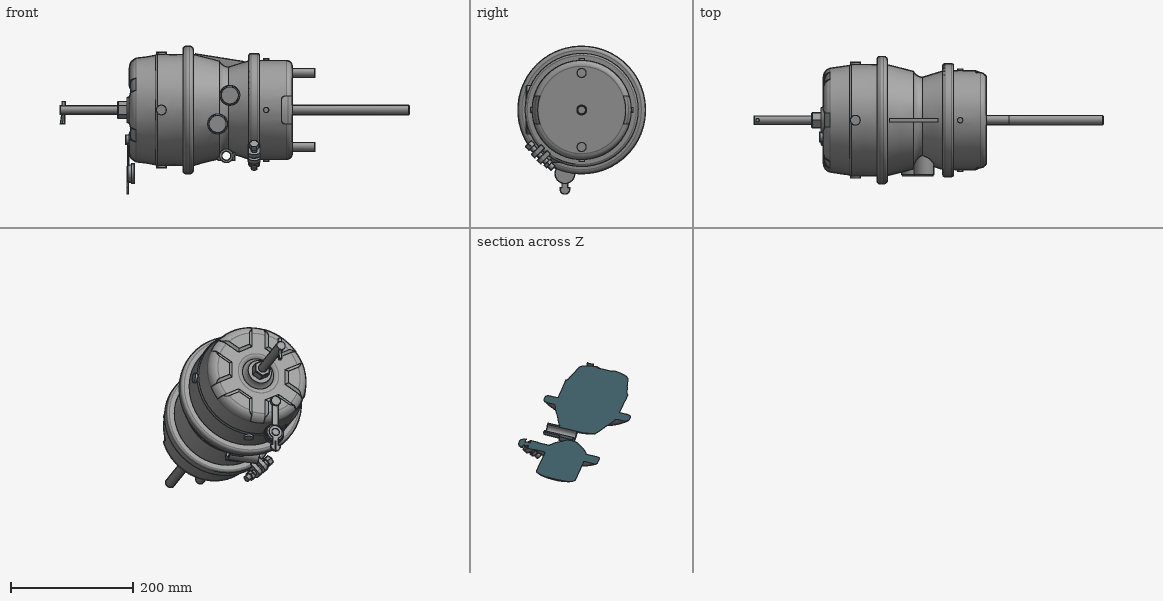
import cadquery as cq
import math

TOTAL_LENGTH = 571.5

REAR_FACE_X = 113.0
DOME_FLAT_RADIUS = 69.5
DOME_ROUNDING_MIDPOINT = (116.5, 80.0)
DOME_END_X = 124.5
DOME_END_RADIUS = 85.0
CONE_END_X = 156.0
CONE_END_RADIUS = 89.5
STEP_END_X = 159.5
CHAMBER_RADIUS = 91.5

JOINT_START_X = 201.0
JOINT_END_X = 218.0
JOINT_RADIUS = 104.5
JOINT_REAR_ROUNDING = 5.0
JOINT_FRONT_ROUNDING = 7.0

BODY_START_RADIUS = 91.0
SHOULDER_X = 260.5
SHOULDER_RADIUS = 80.0
WAIST_X = 275.5
WAIST_RADIUS = 70.0
FLARE_END_RADIUS = 80.5

BAND_START_X = 308.5
BAND_END_X = 326.0
BAND_RADIUS = 92.5
BAND_ROUNDING = 3.5
SERVICE_RADIUS = 81.0
FRONT_FACE_X = 380.0
FRONT_ROUNDING = 9.5

GROOVE_OUTER_RADIUS = 35.0
GROOVE_BOTTOM_RADIUS = 27.0
GROOVE_DEPTH = 3.0
SEAT_RADIUS = 20.0
SEAT_X = 109.0

PAD_COUNT = 6
CHANNEL_DEPTH = 2.0
CHANNEL_FLOOR_X = REAR_FACE_X + CHANNEL_DEPTH
CHANNEL_FLOOR_RADIUS = 71.5
CHANNEL_ROUNDING_MIDPOINT = (119.0, 80.0)
CHANNEL_HALF_WIDTH = 11.5
PAD_INNER_DISTANCE = 45.5
PAD_OUTER_DISTANCE = 114.0
PAD_WALL_SLOPE = 66.0

BOLT_DIAMETER = 14.0
NUT_ACROSS_CORNERS = 28.5
NUT_X = 94.0
NUT_CHAMFER = 1.0
COTTER_X = 5.5
COTTER_DIAMETER = 4.0
COTTER_HEAD_DIAMETER = 5.5
COTTER_HEAD_TOP_Z = 14.0
COTTER_LEG_END_Z = -23.0
COTTER_LEG_SPREAD = 3.5

ROD_DIAMETER = 16.0
ROD_CHAMFER = 1.5
STUD_DIAMETER = 15.0
STUD_OFFSET = 60.5
STUD_END_X = 416.5

CHAMBER_BUTTON_X = 165.5
CHAMBER_BUTTON_DIAMETER = 16.0
CHAMBER_BUTTON_TOP = 95.0
SERVICE_BUTTON_X = 337.0
SERVICE_BUTTON_DIAMETER = 8.5
SERVICE_BUTTON_TOP = 84.0
BUTTON_COUNT = 4

PORTS = [(277.5, 24.0), (257.5, -23.0)]
PORT_DIAMETER = 32.5
PORT_END_Y = -91.5
PORT_CHAMFER = 2.0
PIPE_X = 272.0
PIPE_Z = -75.0
PIPE_DIAMETER = 22.0
PIPE_BORE = 14.0
PIPE_LENGTH = 50.0
PIPE_FOOT_WIDTH = 27.5
PIPE_FOOT_LENGTH = 23.0
PIPE_FOOT_BOTTOM_Z = -82.0

FIN_START_X = 221.0
FIN_END_X = 300.5
FIN_START_Z = 92.0
FIN_END_Z = 79.5
FIN_ROOT_Z = 63.0
FIN_THICKNESS = 5.5

NOTCH_START_X = 362.0
NOTCH_KNEE_X = 373.0
NOTCH_KNEE_RADIUS = 76.5
NOTCH_END_RADIUS = 72.0
NOTCH_WIDTH = 45.5
NOTCH_CORNER_RADIUS = 5.5

CLAMP_ANGLE = 225.0
CLAMP_X = (BAND_START_X + BAND_END_X) / 2
CLAMP_AXIS_RADIUS = 100.5
CLAMP_BOLT_DIAMETER = 9.5
CLAMP_BOLT_START = -34.0
CLAMP_HEAD_END = 23.0
CLAMP_HEAD_LENGTH = 8.5
CLAMP_HEAD_DIAMETER = 16.0
CLAMP_NUT_START = -26.0
CLAMP_NUT_LENGTH = 5.5
LUG_STARTS = [-15.0, -1.0]
LUG_THICKNESS = 8.0
LUG_WIDTH = 19.5
LUG_ROOT_RADIUS = 87.0
LUG_TIP_RADIUS = 109.5

PLUG_Y = -27.5
STRAP_TOP_Z = -48.5
STRAP_WIDTH = 9.5
STRAP_X = 110.0
STRAP_THICKNESS = 2.0
ANCHOR_DIAMETER = 16.0
ANCHOR_X = 107.5
ANCHOR_END_X = 121.0
PLUG_Z = -104.0
PLUG_FACE_RADIUS = 11.15
PLUG_CAP_RADIUS = 14.0
PLUG_DISC_RADIUS = 16.3
PLUG_FACE_X = 109.0
PLUG_CAP_X = 111.5
PLUG_DISC_X = 116.5
PLUG_END_X = 121.5
PLUG_RECESS_DIAMETER = 12.5
PLUG_RECESS_DEPTH = 1.0
TAB_DIAMETER = 16.0
TAB_NECK_WIDTH = 9.5
TAB_THICKNESS = 3.0
TAB_SHOULDER_Z = -127.0
TAB_END_Z = -137.5
TAB_SLIT_WIDTH = 1.5
TAB_SLIT_DEPTH = 1.0


def rod_x(start_x, end_x, diameter, y=0.0, z=0.0):
    """Cylinder along X."""
    plane = cq.Workplane("YZ", origin=(start_x, y, z))
    return plane.circle(diameter / 2).extrude(end_x - start_x)


def hex_x(start_x, end_x, across_corners):
    """Hexagonal bar along X with two corners on the vertical axis."""
    plane = cq.Workplane("YZ", origin=(start_x, 0, 0))
    bar = plane.polygon(6, across_corners).extrude(end_x - start_x)
    return bar.rotate((0, 0, 0), (1, 0, 0), 90)


def revolve_x(outline):
    """Turn an XY outline around the X axis."""
    return outline.close().revolve(360, (0, 0, 0), (1, 0, 0))


def rounded_disc(start_x, end_x, radius, rear_rounding, front_rounding):
    """Solid disc with rounded rims."""
    disc = rod_x(start_x, end_x, 2 * radius)
    return disc.faces("<X").edges().fillet(rear_rounding).faces(">X").edges().fillet(front_rounding)


def make_housing():
    outline = (
        cq.Workplane("XY")
        .moveTo(SEAT_X, 0)
        .lineTo(SEAT_X, SEAT_RADIUS)
        .threePointArc((REAR_FACE_X + 1.0, 23.0), (CHANNEL_FLOOR_X + GROOVE_DEPTH, GROOVE_BOTTOM_RADIUS))
        .threePointArc((CHANNEL_FLOOR_X + 0.5, 31.0), (CHANNEL_FLOOR_X, GROOVE_OUTER_RADIUS))
        .lineTo(CHANNEL_FLOOR_X, CHANNEL_FLOOR_RADIUS)
        .threePointArc(CHANNEL_ROUNDING_MIDPOINT, (DOME_END_X, DOME_END_RADIUS))
        .lineTo(CONE_END_X, CONE_END_RADIUS)
        .lineTo(STEP_END_X, CHAMBER_RADIUS)
        .lineTo(JOINT_END_X, BODY_START_RADIUS)
        .lineTo(SHOULDER_X, SHOULDER_RADIUS)
        .threePointArc((267.0, 73.0), (WAIST_X, WAIST_RADIUS))
        .lineTo(BAND_START_X, FLARE_END_RADIUS)
        .lineTo(BAND_END_X, SERVICE_RADIUS)
        .lineTo(FRONT_FACE_X - FRONT_ROUNDING, SERVICE_RADIUS)
        .radiusArc((FRONT_FACE_X, SERVICE_RADIUS - FRONT_ROUNDING), FRONT_ROUNDING)
        .lineTo(FRONT_FACE_X, 0)
    )
    housing = revolve_x(outline)
    joint = rounded_disc(JOINT_START_X, JOINT_END_X, JOINT_RADIUS, JOINT_REAR_ROUNDING, JOINT_FRONT_ROUNDING)
    housing = housing.union(joint)
    band = rounded_disc(BAND_START_X, BAND_END_X, BAND_RADIUS, BAND_ROUNDING, BAND_ROUNDING)
    return housing.union(band)


def make_pad():
    """Raised dome pad, centred on +Y, with sloped walls down to the channel floor."""
    half_angle = math.pi / PAD_COUNT

    def half_width(distance):
        return distance * math.tan(half_angle) - CHANNEL_HALF_WIDTH / math.cos(half_angle)

    inner = half_width(PAD_INNER_DISTANCE)
    outer = half_width(PAD_OUTER_DISTANCE)
    corners = [
        (PAD_INNER_DISTANCE, -inner),
        (PAD_OUTER_DISTANCE, -outer),
        (PAD_OUTER_DISTANCE, outer),
        (PAD_INNER_DISTANCE, inner),
    ]
    plane = cq.Workplane("YZ", origin=(CHANNEL_FLOOR_X, 0, 0))
    sloped_part = plane.polyline(corners).close().extrude(-CHANNEL_DEPTH, taper=PAD_WALL_SLOPE)
    straight_part = plane.polyline(corners).close().extrude(DOME_END_X - CHANNEL_FLOOR_X)
    dome = revolve_x(
        cq.Workplane("XY")
        .moveTo(REAR_FACE_X, 0)
        .lineTo(REAR_FACE_X, DOME_FLAT_RADIUS)
        .threePointArc(DOME_ROUNDING_MIDPOINT, (DOME_END_X, DOME_END_RADIUS))
        .lineTo(DOME_END_X, 0)
    )
    return sloped_part.union(straight_part).intersect(dome)


def make_notch():
    """Cutter for the round-bottomed notch in the front rim on the +Y side."""
    ring = revolve_x(
        cq.Workplane("XY")
        .moveTo(NOTCH_START_X, SERVICE_RADIUS)
        .lineTo(NOTCH_KNEE_X, NOTCH_KNEE_RADIUS)
        .lineTo(FRONT_FACE_X, NOTCH_END_RADIUS)
        .lineTo(FRONT_FACE_X, CHAMBER_RADIUS)
        .lineTo(NOTCH_START_X, CHAMBER_RADIUS)
    )
    window = cq.Workplane("XY").box(
        FRONT_FACE_X - NOTCH_START_X, CHAMBER_RADIUS, NOTCH_WIDTH, centered=(False, False, True)
    )
    window = window.edges("|Y and <X").fillet(NOTCH_CORNER_RADIUS)
    return ring.intersect(window.translate((NOTCH_START_X, 0, 0)))


def make_buttons(x, diameter, top_radius):
    """Evenly spaced radial buttons around one chamber."""
    buttons = cq.Workplane("XY")
    for index in range(BUTTON_COUNT):
        button = cq.Workplane("XY", origin=(x, 0, 0)).circle(diameter / 2).extrude(top_radius)
        buttons = buttons.union(button.rotate((0, 0, 0), (1, 0, 0), index * 360 / BUTTON_COUNT))
    return buttons


def cylinder_to_minus_y(x, z, diameter, length):
    """Cylinder from the XZ mid-plane towards -Y."""
    return cq.Workplane("XZ", origin=(x, 0, z)).circle(diameter / 2).extrude(length)


def make_fin():
    outline = [
        (FIN_START_X, FIN_ROOT_Z),
        (FIN_START_X, FIN_START_Z),
        (FIN_END_X, FIN_END_Z),
        (FIN_END_X, FIN_ROOT_Z),
    ]
    return cq.Workplane("XZ").polyline(outline).close().extrude(FIN_THICKNESS / 2, both=True)


def make_release_bolt():
    bolt = rod_x(0, REAR_FACE_X, BOLT_DIAMETER)
    nut = hex_x(NUT_X, REAR_FACE_X, NUT_ACROSS_CORNERS)
    bolt = bolt.union(nut.faces("<X").chamfer(NUT_CHAMFER))
    head_z = COTTER_HEAD_TOP_Z - COTTER_HEAD_DIAMETER / 2
    straight_leg = (
        cq.Workplane("XY", origin=(COTTER_X, 0, COTTER_LEG_END_Z))
        .circle(COTTER_DIAMETER / 2)
        .extrude(head_z - COTTER_LEG_END_Z)
    )
    head = cq.Workplane("XY", origin=(COTTER_X, 0, BOLT_DIAMETER / 4)).circle(COTTER_HEAD_DIAMETER / 2)
    head = head.extrude(COTTER_HEAD_TOP_Z - BOLT_DIAMETER / 4)
    leg_end = cq.Vector(COTTER_X - COTTER_LEG_SPREAD, 0, COTTER_LEG_END_Z)
    leg_path = leg_end - cq.Vector(COTTER_X, 0, 0)
    bent_leg = cq.Workplane(
        cq.Solid.makeCylinder(COTTER_DIAMETER / 2, leg_path.Length, cq.Vector(COTTER_X, 0, 0), leg_path)
    )
    return bolt.union(straight_leg).union(head).union(bent_leg)


def make_clamp():
    """Clamp bolt with lugs, built on top of the band (bolt along Y) and swung to its place."""

    def along_bolt(start, length, diameter, sides=0):
        plane = cq.Workplane("XZ", origin=(CLAMP_X, start + length, CLAMP_AXIS_RADIUS))
        section = plane.polygon(sides, diameter) if sides else plane.circle(diameter / 2)
        return section.extrude(length)

    clamp = along_bolt(CLAMP_BOLT_START, CLAMP_HEAD_END - CLAMP_BOLT_START, CLAMP_BOLT_DIAMETER)
    head_start = CLAMP_HEAD_END - CLAMP_HEAD_LENGTH
    clamp = clamp.union(along_bolt(head_start, CLAMP_HEAD_LENGTH, CLAMP_HEAD_DIAMETER, 6))
    clamp = clamp.union(along_bolt(CLAMP_NUT_START, CLAMP_NUT_LENGTH, CLAMP_HEAD_DIAMETER, 6))
    for start in LUG_STARTS:
        lug = cq.Workplane("XY").box(
            LUG_WIDTH, LUG_THICKNESS, LUG_TIP_RADIUS - LUG_ROOT_RADIUS, centered=(True, False, False)
        )
        lug = lug.edges("|Y and >Z").fillet(LUG_WIDTH / 3)
        clamp = clamp.union(lug.translate((CLAMP_X, start, LUG_ROOT_RADIUS)))
    return clamp.rotate((0, 0, 0), (1, 0, 0), CLAMP_ANGLE - 90)


def make_dust_plug():
    anchor = rod_x(ANCHOR_X, ANCHOR_END_X, ANCHOR_DIAMETER, PLUG_Y, STRAP_TOP_Z)
    strap = cq.Workplane("XY").box(
        STRAP_THICKNESS, STRAP_WIDTH, STRAP_TOP_Z - PLUG_Z, centered=(False, True, False)
    )
    strap = strap.translate((STRAP_X, PLUG_Y, PLUG_Z))
    plug = revolve_x(
        cq.Workplane("XY")
        .moveTo(PLUG_FACE_X, 0)
        .lineTo(PLUG_FACE_X, PLUG_FACE_RADIUS)
        .lineTo(PLUG_CAP_X, PLUG_CAP_RADIUS)
        .lineTo(PLUG_DISC_X, PLUG_CAP_RADIUS)
        .lineTo(PLUG_DISC_X, PLUG_DISC_RADIUS)
        .lineTo(PLUG_END_X, PLUG_DISC_RADIUS)
        .lineTo(PLUG_END_X, 0)
    )
    plug = plug.translate((0, PLUG_Y, PLUG_Z))
    tab = (
        cq.Workplane("YZ", origin=(PLUG_FACE_X, PLUG_Y, 0))
        .moveTo(-TAB_NECK_WIDTH / 2, PLUG_Z)
        .lineTo(-TAB_NECK_WIDTH / 2, TAB_SHOULDER_Z)
        .lineTo(-TAB_DIAMETER / 2, TAB_SHOULDER_Z)
        .lineTo(-TAB_DIAMETER / 2, TAB_END_Z + TAB_DIAMETER / 2)
        .threePointArc((0, TAB_END_Z), (TAB_DIAMETER / 2, TAB_END_Z + TAB_DIAMETER / 2))
        .lineTo(TAB_DIAMETER / 2, TAB_SHOULDER_Z)
        .lineTo(TAB_NECK_WIDTH / 2, TAB_SHOULDER_Z)
        .lineTo(TAB_NECK_WIDTH / 2, PLUG_Z)
        .close()
        .extrude(TAB_THICKNESS)
    )
    slit_length = PLUG_Z - PLUG_DISC_RADIUS - TAB_END_Z
    slit = cq.Workplane("XY").box(TAB_SLIT_DEPTH, TAB_SLIT_WIDTH, slit_length, centered=(False, True, False))
    tab = tab.cut(slit.translate((PLUG_FACE_X, PLUG_Y, TAB_END_Z)))
    recess = rod_x(PLUG_FACE_X, PLUG_FACE_X + PLUG_RECESS_DEPTH, PLUG_RECESS_DIAMETER, PLUG_Y, PLUG_Z)
    return anchor.union(strap).union(plug).union(tab).cut(recess)


result = make_housing()
pad = make_pad()
for index in range(PAD_COUNT):
    result = result.union(pad.rotate((0, 0, 0), (1, 0, 0), index * 360 / PAD_COUNT))
notch = make_notch()
result = result.cut(notch).cut(notch.mirror("XZ"))

result = result.union(make_fin())
result = result.union(make_buttons(CHAMBER_BUTTON_X, CHAMBER_BUTTON_DIAMETER, CHAMBER_BUTTON_TOP))
result = result.union(make_buttons(SERVICE_BUTTON_X, SERVICE_BUTTON_DIAMETER, SERVICE_BUTTON_TOP))
for port_x, port_z in PORTS:
    port = cylinder_to_minus_y(port_x, port_z, PORT_DIAMETER, -PORT_END_Y)
    result = result.union(port.faces("<Y").chamfer(PORT_CHAMFER))
result = result.union(cylinder_to_minus_y(PIPE_X, PIPE_Z, PIPE_DIAMETER, PIPE_LENGTH))
pipe_foot = cq.Workplane("XY").box(
    PIPE_FOOT_WIDTH, PIPE_FOOT_LENGTH, -PIPE_FOOT_BOTTOM_Z, centered=(True, False, False)
)
result = result.union(pipe_foot.translate((PIPE_X, -PIPE_FOOT_LENGTH, PIPE_FOOT_BOTTOM_Z)))
pipe_bore = cq.Workplane("XZ", origin=(PIPE_X, 0, PIPE_Z)).circle(PIPE_BORE / 2)
result = result.cut(pipe_bore.extrude(JOINT_RADIUS, both=True))

push_rod = rod_x(FRONT_FACE_X, TOTAL_LENGTH, ROD_DIAMETER).faces(">X").chamfer(ROD_CHAMFER)
result = result.union(push_rod)
for stud_z in (STUD_OFFSET, -STUD_OFFSET):
    result = result.union(rod_x(FRONT_FACE_X, STUD_END_X, STUD_DIAMETER, 0, stud_z))

result = result.union(make_release_bolt()).union(make_clamp()).union(make_dust_plug())